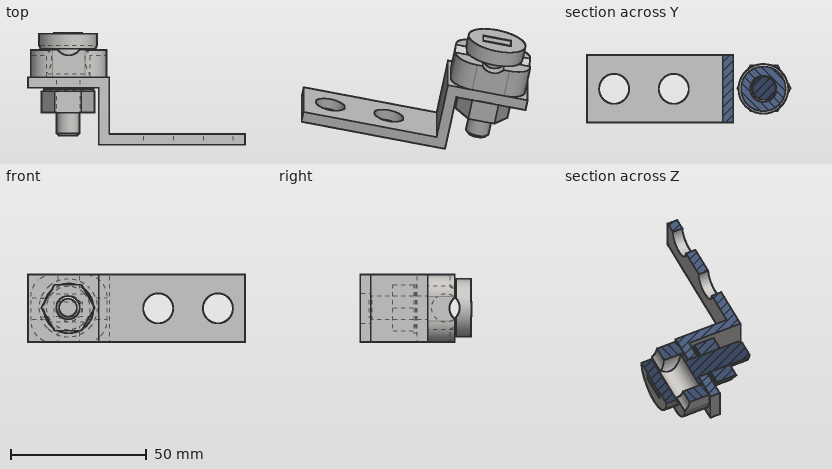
import cadquery as cq
import math


bracket_length = 80.0
bracket_width = 25.0
bracket_step = 25.0
strip_thickness = 4.0
mount_flange_length = 30.0
end_hole_count = 2
end_hole_diameter = 11.0
end_hole_spacing = 22.0
end_hole_margin = 10.0

block_length = 28.0
block_height = 10.0
block_corner_radius = 8.0
block_groove_radius = 5.0
block_groove_depth = 2.0

cap_radius = 10.7
cap_height = 5.6
cap_gap = 0.4
pad_length = 10.4
pad_width = 5.2
pad_height = 0.2
pad_drop = 0.5
shoulder_radius = 8.0
wire_hole_radius = 5.2
wire_hole_cap_depth = 1.3
shank_radius = 4.3
shank_reach = 21.7
shank_chamfer = 1.0

washer_outer_radius = 9.2
washer_inner_radius = 4.8
washer_thickness = 0.7
washer_dish = 0.44

nut_height = 8.0
nut_across_flats = 17.0

bolt_offset_x = 0.2
bolt_offset_z = 0.2
seat_x = mount_flange_length / 2
seat_z = bracket_width / 2
bolt_x = seat_x - bolt_offset_x
bolt_z = seat_z + bolt_offset_z

cap_base_y = block_height + cap_gap
cap_top_y = cap_base_y + cap_height

washer_tilt = math.atan2(washer_dish, washer_outer_radius - washer_inner_radius)
washer_rim_inset = washer_thickness * math.sin(washer_tilt)
washer_rim_rise = washer_thickness * math.cos(washer_tilt)
nut_top_y = -strip_thickness - washer_dish - washer_rim_rise


def cylinder_y(x, z, radius, y_start, y_end):
    """Cylinder along Y between two heights."""
    axis_start = cq.Vector(x, y_start, z)
    solid = cq.Solid.makeCylinder(radius, y_end - y_start, axis_start, cq.Vector(0, 1, 0))
    return cq.Workplane(obj=solid)


def cross_cylinder(x, y, z, radius, direction):
    """Cylinder through (x, y, z) along the given unit direction, longer than the block."""
    length = 2 * block_length
    axis = cq.Vector(*direction)
    solid = cq.Solid.makeCylinder(radius, length, cq.Vector(x, y, z) - axis * (length / 2), axis)
    return cq.Workplane(obj=solid)


def make_bracket():
    web_inner_x = mount_flange_length - strip_thickness
    profile = [
        (0, 0),
        (mount_flange_length, 0),
        (mount_flange_length, strip_thickness - bracket_step),
        (bracket_length, strip_thickness - bracket_step),
        (bracket_length, -bracket_step),
        (web_inner_x, -bracket_step),
        (web_inner_x, -strip_thickness),
        (0, -strip_thickness),
    ]
    bracket = cq.Workplane("XY").polyline(profile).close().extrude(bracket_width)
    bracket = bracket.cut(cylinder_y(bolt_x, bolt_z, shank_radius, -strip_thickness, 0))
    for index in range(end_hole_count):
        hole_x = bracket_length - end_hole_margin - index * end_hole_spacing
        end_hole = cylinder_y(
            hole_x, seat_z, end_hole_diameter / 2, -bracket_step, strip_thickness - bracket_step
        )
        bracket = bracket.cut(end_hole)
    return bracket


def make_clamp_block():
    block = (
        cq.Workplane("XY")
        .box(block_length, block_height, bracket_width)
        .edges("|Y")
        .fillet(block_corner_radius)
        .translate((seat_x, block_height / 2, seat_z))
    )
    groove_y = block_height - block_groove_depth + block_groove_radius
    for direction in ((1, 0, 0), (0, 0, 1)):
        block = block.cut(cross_cylinder(seat_x, groove_y, seat_z, block_groove_radius, direction))
    return block.cut(cylinder_y(bolt_x, bolt_z, shoulder_radius, 0, block_height))


def make_clamp_bolt():
    shank = cylinder_y(bolt_x, bolt_z, shank_radius, -shank_reach, 0)
    shank = shank.faces("<Y").chamfer(shank_chamfer)
    shoulder = cylinder_y(bolt_x, bolt_z, shoulder_radius, 0, cap_base_y)
    cap = cylinder_y(bolt_x, bolt_z, cap_radius, cap_base_y, cap_top_y)
    pad = (
        cq.Workplane("XY")
        .box(pad_length, pad_height, pad_width)
        .translate((bolt_x, cap_top_y + pad_height / 2, bolt_z - pad_drop))
    )
    wire_hole_y = cap_base_y + wire_hole_cap_depth - wire_hole_radius
    wire_hole = cross_cylinder(bolt_x, wire_hole_y, bolt_z, wire_hole_radius, (1, 0, 0))
    return shank.union(shoulder).union(cap).union(pad).cut(wire_hole)


def make_washer():
    section = [
        (washer_inner_radius, 0),
        (washer_outer_radius, -washer_dish),
        (washer_outer_radius - washer_rim_inset, -washer_dish - washer_rim_rise),
        (washer_inner_radius - washer_rim_inset, -washer_rim_rise),
    ]
    washer = cq.Workplane("XY").polyline(section).close().revolve(360, (0, 0, 0), (0, 1, 0))
    return washer.translate((seat_x, -strip_thickness, seat_z))


def make_nut():
    across_corners = nut_across_flats / math.cos(math.pi / 6)
    nut = (
        cq.Workplane("XZ", origin=(bolt_x, nut_top_y, bolt_z))
        .polygon(6, across_corners)
        .extrude(nut_height)
    )
    return nut.cut(cylinder_y(bolt_x, bolt_z, shank_radius, nut_top_y - nut_height, nut_top_y))


bracket = make_bracket()
clamp_block = make_clamp_block()
clamp_bolt = make_clamp_bolt()
washer = make_washer()
nut = make_nut()

result = cq.Compound.makeCompound(
    [bracket.val(), clamp_block.val(), clamp_bolt.val(), washer.val(), nut.val()]
)